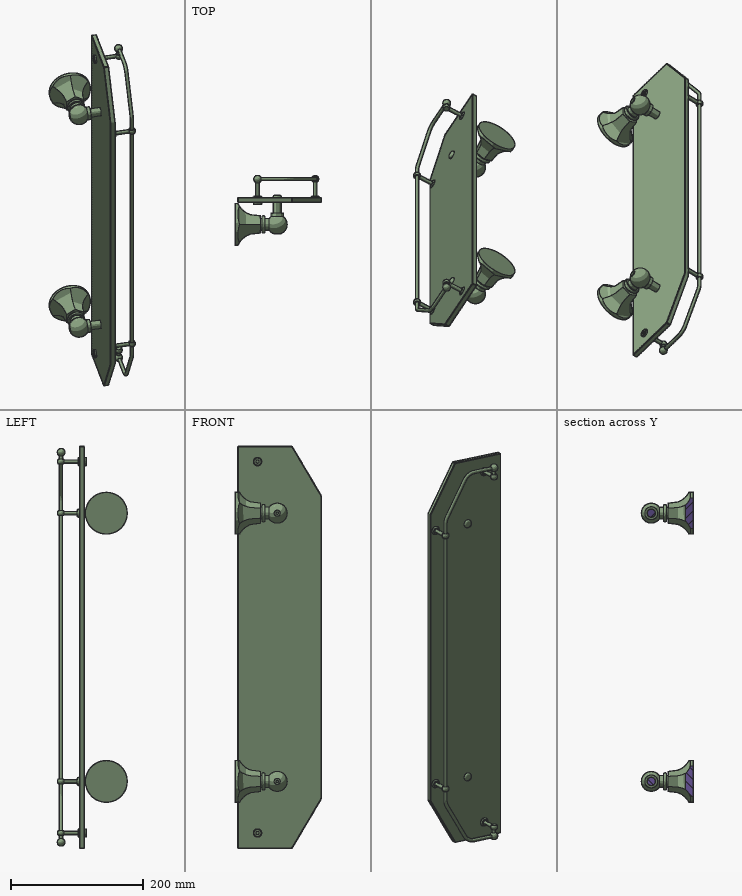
import cadquery as cq
import math


shelf_length = 609.6
shelf_depth = 127.0
shelf_thickness = 7.94
shelf_front_y = 33.1
shelf_back_y = shelf_front_y + shelf_thickness
shelf_top_z = shelf_length / 2
corner_depth = 44.45
corner_height = 75.0
edge_bevel = 1.0

rail_radius = 2.6
rail_y = 68.8
rail_inset = 9.4
rail_bend_radius = 19.05
rail_end_x = 30.2
rail_end_z = shelf_top_z - rail_inset
rail_front_x = shelf_depth - rail_inset
finial_radius = 6.0
finial_y = 68.47

post_radius = 2.8
post_foot_radius = 6.6
post_foot_height = 2.2
post_foot_slope = 1.8
knob_radius = 5.4
knob_height = 7.5
rear_post_z = shelf_top_z - 23.5
nut_radius = 6.4
nut_height = 3.3
nut_bevel = 1.0
nut_socket_radius = 2.5
nut_socket_depth = 2.0

holder_spacing = 406.4
holder_z = holder_spacing / 2
rosette_radius = 31.75
rosette_back_x = -3.91
rim_front_x = 0.5
flare_mid = (8.6, 21.0)
flare_end = (19.5, 14.9)
hub_end = (34.5, 13.2)
ring_start_x = 36.6
ring_end_x = 41.6
ring_edge_radius = 11.5
ring_radius = 13.2
neck_radius = 9.0
ball_x = 60.0
ball_radius = 15.2
collar_radius = 9.8
collar_end_y = 17.0
stem_radius = 6.35
cap_height = 3.4
cap_rounding = 3.0
screw_hole_radius = 4.6
screw_hole_depth = 4.0
screw_socket_radius = 1.8
screw_socket_depth = 6.5


def rod_along_y(x, z, radius, start_y, end_y):
    """Round bar parallel to Y."""
    plane = cq.Plane(origin=(x, start_y, z), xDir=(1, 0, 0), normal=(0, 1, 0))
    return cq.Workplane(plane).circle(radius).extrude(end_y - start_y)


def rod_along_x(start_x, end_x, radius):
    """Round bar on the X axis."""
    return cq.Workplane("YZ", origin=(start_x, 0, 0)).circle(radius).extrude(end_x - start_x)


def ball(x, y, z, radius):
    """Sphere turned about an axis parallel to X."""
    plane = cq.Plane(origin=(x, y, z), xDir=(0, 1, 0), normal=(1, 0, 0))
    return cq.Workplane(plane).sphere(radius)


def make_panel():
    """Flat panel with two sloped corners and bevelled edges."""
    corner_x = shelf_depth - corner_depth
    corner_z = shelf_top_z - corner_height
    plane = cq.Plane(origin=(0, shelf_back_y, 0), xDir=(1, 0, 0), normal=(0, -1, 0))
    panel = (
        cq.Workplane(plane)
        .polyline([
            (0, -shelf_top_z),
            (corner_x, -shelf_top_z),
            (shelf_depth, -corner_z),
            (shelf_depth, corner_z),
            (corner_x, shelf_top_z),
            (0, shelf_top_z),
        ])
        .close()
        .extrude(shelf_thickness)
    )
    return panel.edges().chamfer(edge_bevel)


def make_rail():
    """Bent round rail running parallel to the panel edges, bends rounded by arcs."""
    upper_turn = math.atan2(corner_height, corner_depth)
    lower_turn = math.pi / 2 - upper_turn
    upper_corner_x = shelf_depth - corner_depth - rail_inset * math.tan(upper_turn / 2)
    lower_corner_z = shelf_top_z - corner_height - rail_inset * math.tan(lower_turn / 2)
    upper_tangent = rail_bend_radius * math.tan(upper_turn / 2)
    lower_tangent = rail_bend_radius * math.tan(lower_turn / 2)
    slope_x = math.cos(upper_turn)
    slope_z = -math.sin(upper_turn)

    bend_1_start = (upper_corner_x - upper_tangent, rail_end_z)
    bend_1_end = (upper_corner_x + upper_tangent * slope_x, rail_end_z + upper_tangent * slope_z)
    bend_2_start = (rail_front_x - lower_tangent * slope_x, lower_corner_z - lower_tangent * slope_z)
    bend_2_end = (rail_front_x, lower_corner_z - lower_tangent)

    plane = cq.Plane(origin=(0, rail_y, 0), xDir=(1, 0, 0), normal=(0, -1, 0))
    path = (
        cq.Workplane(plane)
        .moveTo(rail_end_x, rail_end_z)
        .lineTo(*bend_1_start)
        .tangentArcPoint(bend_1_end, relative=False)
        .lineTo(*bend_2_start)
        .tangentArcPoint(bend_2_end, relative=False)
        .lineTo(rail_front_x, 0)
    )
    start = cq.Workplane("YZ", origin=(rail_end_x, rail_y, rail_end_z))
    half = start.circle(rail_radius).sweep(path)
    return half.union(half.mirror("XY"))


def make_post(x, z):
    """Gallery post: conical foot, round shank and a flat-ended knob on the rail line."""
    shank = rod_along_y(x, z, post_radius, shelf_back_y, rail_y)
    foot = rod_along_y(x, z, post_foot_radius, shelf_back_y, shelf_back_y + post_foot_height)
    foot = foot.faces(">Y").chamfer(post_foot_slope)
    knob_band = cq.Workplane("XY", origin=(x, rail_y, z)).box(2 * knob_radius, 2 * knob_radius, knob_height)
    knob = ball(x, rail_y, z, knob_radius).intersect(knob_band)
    return shank.union(foot).union(knob)


def make_rear_post(side):
    """Rear post with its finial, the neck between them and the nut on the front face."""
    z = side * rear_post_z
    finial_z = side * rail_end_z
    neck = cq.Workplane("XY", origin=(rail_end_x, finial_y, z)).circle(rail_radius).extrude(finial_z - z)
    nut = rod_along_y(rail_end_x, z, nut_radius, shelf_front_y - nut_height, shelf_front_y)
    nut = nut.faces("<Y").edges().chamfer(nut_bevel)
    socket_end_y = shelf_front_y - nut_height + nut_socket_depth
    socket = rod_along_y(rail_end_x, z, nut_socket_radius, shelf_front_y - nut_height, socket_end_y)
    finial = ball(rail_end_x, finial_y, finial_z, finial_radius)
    return make_post(rail_end_x, z).union(neck).union(finial).union(nut.cut(socket))


def make_shelf():
    """Panel joined with its rail and posts, bored for the two holder stems."""
    shelf = make_panel().union(make_rail())
    for side in (-1, 1):
        shelf = shelf.union(make_rear_post(side))
        shelf = shelf.union(make_post(rail_front_x, side * holder_z))
        hole = rod_along_y(ball_x, side * holder_z, stem_radius, shelf_front_y, shelf_back_y)
        shelf = shelf.cut(hole)
    return shelf


def make_rosette():
    """Hexagonal flared rosette trimmed to a round rim, with corners on +Z and -Z."""
    profile = (
        cq.Workplane("XY", origin=(0, 0, -2 * rosette_radius))
        .moveTo(rosette_back_x, -rosette_radius)
        .lineTo(rim_front_x, -rosette_radius)
        .threePointArc((flare_mid[0], -flare_mid[1]), (flare_end[0], -flare_end[1]))
        .lineTo(hub_end[0], -hub_end[1])
        .lineTo(*hub_end)
        .lineTo(*flare_end)
        .threePointArc(flare_mid, (rim_front_x, rosette_radius))
        .lineTo(rosette_back_x, rosette_radius)
        .close()
        .extrude(4 * rosette_radius)
    )
    rosette = rod_along_x(rosette_back_x, hub_end[0], rosette_radius)
    for turn in (0, 60, 120):
        rosette = rosette.intersect(profile.rotate((0, 0, 0), (1, 0, 0), turn))
    return rosette


def make_turned_neck():
    """Neck with a rounded ring and the ball, turned about the X axis."""
    ball_start_x = ball_x - math.sqrt(ball_radius**2 - neck_radius**2)
    return (
        cq.Workplane("XY")
        .moveTo(hub_end[0], 0)
        .lineTo(hub_end[0], neck_radius)
        .lineTo(ring_start_x, neck_radius)
        .lineTo(ring_start_x, ring_edge_radius)
        .threePointArc(((ring_start_x + ring_end_x) / 2, ring_radius), (ring_end_x, ring_edge_radius))
        .lineTo(ring_end_x, neck_radius)
        .lineTo(ball_start_x, neck_radius)
        .threePointArc((ball_x, ball_radius), (ball_x + ball_radius, 0))
        .close()
        .revolve(360, (0, 0, 0), (1, 0, 0))
    )


def make_holder(z):
    """Rosette, turned neck with its ball, and the stem that clamps the shelf."""
    holder = make_rosette().union(make_turned_neck())
    holder = holder.union(rod_along_y(ball_x, 0, collar_radius, 0, collar_end_y))
    stem = rod_along_y(ball_x, 0, stem_radius, 0, shelf_back_y + cap_height)
    holder = holder.union(stem.faces(">Y").edges().fillet(cap_rounding))
    for radius, depth in ((screw_hole_radius, screw_hole_depth), (screw_socket_radius, screw_socket_depth)):
        holder = holder.cut(rod_along_y(ball_x, 0, radius, -ball_radius, depth - ball_radius))
    return holder.translate((0, 0, z))


shelf = make_shelf()
holders = [make_holder(side * holder_z) for side in (-1, 1)]

result = cq.Compound.makeCompound([shelf.val()] + [holder.val() for holder in holders])